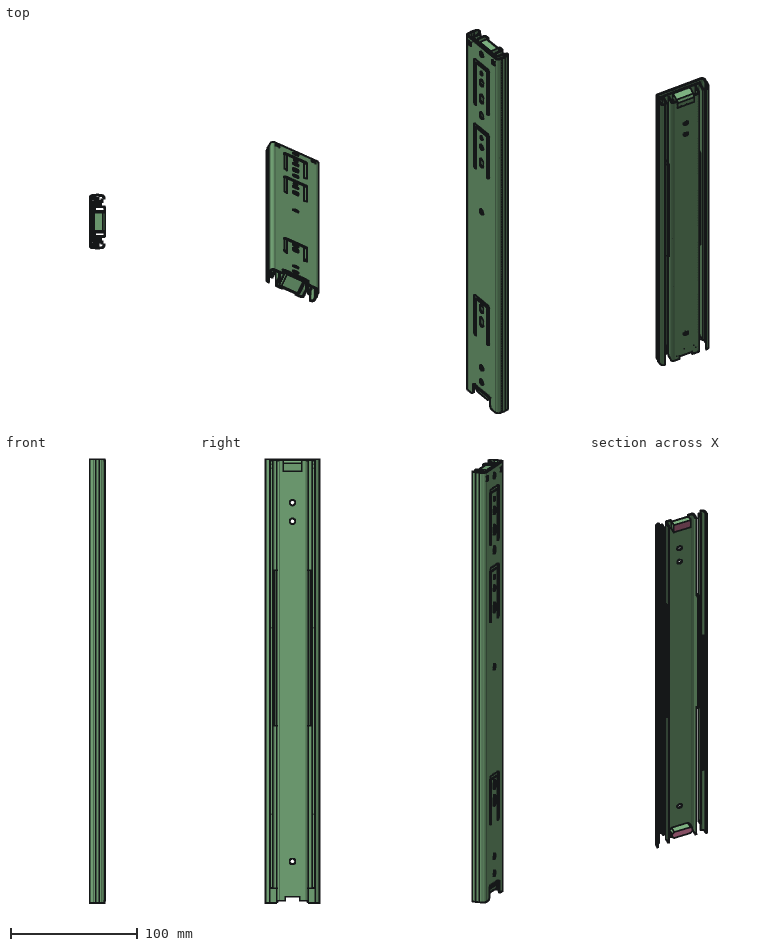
import cadquery as cq


LENGTH = 350.0
WIDTH = 43.0
DEPTH = 12.5
SHEET = 1.0
HALF_WIDTH = WIDTH / 2

OUTER_DEPTH = 12.0
OUTER_CORNER = 2.8
OUTER_LIP_CORNER = 2.8
RACEWAY_RISE = 0.5
RACEWAY_X = (5.0, 7.7)
FLANGE_Y = HALF_WIDTH - RACEWAY_RISE
OUTER_LIP_Y = 18.0
HOLE_WIDTH = 5.0
ROUND_HOLE_Z = [343.0, 251.3, 187.2, 33.0, 19.0]
SLOTS = [(314.5, 6.3), (299.0, 8.5), (282.5, 6.3), (235.5, 8.5), (91.5, 7.7), (78.5, 9.0)]
PILOT_HOLE = 3.5
PILOT_HOLE_Z = [324.0, 260.5]
TONGUES = [(333.5, 288.5), (269.5, 225.5), (100.0, 60.5)]
TONGUE_HALF_WIDTH = 7.7
TONGUE_BEVEL = 0.52
SLIT_HALF_WIDTH = 10.0
SLIT_TOP_HEIGHT = 3.0
SLIT_CORNER = 2.0
WINDOW = 3.5
WINDOW_Y = 15.8
WINDOW_Z = 344.5
MOUTH_HALF_WIDTH = 11.2
MOUTH_HEIGHT = 10.0
MOUTH_FLARE = 1.8
MOUTH_CROWN_HALF_WIDTH = 9.0
MOUTH_CROWN_HEIGHT = 11.2

MIDDLE_BACK_X = 2.5
MIDDLE_FRONT_X = 10.5
MIDDLE_FLANGE_Y = 16.5
MIDDLE_LIP_Y = 17.5
MIDDLE_CORNER = 1.8
MIDDLE_BOTTOM_Z = 12.0

INNER_BACK_X = 5.2
INNER_HALF_WIDTH = 12.2
INNER_CORNER = 1.8
INNER_BOTTOM_Z = 1.8
INNER_TOP_Z = 349.0
NOTCH_HALF_WIDTH = 5.5
NOTCH_TOP_Z = 5.0

ACCESS_HOLE = 4.2
ACCESS_HOLE_Z = [315.7, 301.0, 33.0]

CAGE_WEB = 0.52
CAGE_LEG = 1.5
OUTER_CAGE_BACK_X = 1.5
OUTER_CAGE_FRONT_X = 7.5
OUTER_CAGE_HALF_WIDTH = 19.0
OUTER_CAGE_Z = (70.0, 217.0)
INNER_CAGE_BACK_X = 4.0
INNER_CAGE_FRONT_X = 9.0
INNER_CAGE_HALF_WIDTH = 14.5
INNER_CAGE_Z = (140.0, 262.5)

TOP_STOP_BACK_X = 4.0
TOP_STOP_HALF_WIDTH = 7.5
TOP_STOP_HEIGHT = 8.5
TOP_STOP_BEVEL = 2.0
BOTTOM_STOP_BACK_X = 1.0
BOTTOM_STOP_HALF_WIDTH = 8.8
BOTTOM_STOP_BEVEL = 1.8
GROOVE_Z = 8.5
GROOVE_SIZE = 1.0


def centred_box(x0, x1, half_width, z0, z1):
    """Block that is symmetric about Y = 0."""
    block = cq.Workplane("XY").box(x1 - x0, 2 * half_width, z1 - z0, centered=(False, True, False))
    return block.translate((x0, 0, z0))


def channel(back_x, front_x, half_width, web, leg, z0, z1):
    """Square-cornered channel with its web at back_x and its open side towards +X."""
    solid = centred_box(back_x, front_x, half_width, z0, z1)
    return solid.cut(centred_box(back_x + web, front_x, half_width - leg, z0, z1))


def round_edges_at(solid, x, half_width, radius):
    """Round the two Z edges of a profile at the given X and at both +half_width and -half_width."""
    reach = SHEET / 4
    for y in (-half_width, half_width):
        near_edge = cq.selectors.BoxSelector((x - reach, y - reach, 0), (x + reach, y + reach, LENGTH))
        solid = solid.edges(near_edge).fillet(radius)
    return solid


def cross_slot(x0, x1, z, width, length):
    """Cutter along X at Y = 0, rounded at both ends of its length along Z; round if length = width."""
    plane = cq.Workplane("YZ", origin=(x0, 0, z))
    if length > width:
        return plane.slot2D(length, width, 90).extrude(x1 - x0)
    return plane.circle(width / 2).extrude(x1 - x0)


def tongue_slit(top_z, bottom_z):
    """U-shaped cutter that leaves a tongue joined to the web at its lower end."""
    slit = centred_box(0, SHEET, SLIT_HALF_WIDTH, bottom_z, top_z).edges("|X").fillet(SLIT_CORNER)
    tongue = centred_box(0, SHEET, TONGUE_HALF_WIDTH, bottom_z, top_z - SLIT_TOP_HEIGHT)
    return slit.cut(tongue.edges("|Z and <X").chamfer(TONGUE_BEVEL))


def raceway_bulge(base_y, side):
    """Full-length segment of a cylinder that rises outwards from a flat face at side * base_y."""
    start_x, end_x = RACEWAY_X
    crest = ((start_x + end_x) / 2, side * (base_y + RACEWAY_RISE))
    profile = cq.Workplane("XY").moveTo(start_x, side * base_y)
    return profile.threePointArc(crest, (end_x, side * base_y)).close().extrude(LENGTH)


def mouth():
    """Cutter for the flared cutout at the bottom of the outer rail's web."""
    flared = MOUTH_HALF_WIDTH + MOUTH_FLARE
    half = [
        (flared, 0),
        (MOUTH_HALF_WIDTH, MOUTH_FLARE),
        (MOUTH_HALF_WIDTH, MOUTH_HEIGHT),
        (MOUTH_CROWN_HALF_WIDTH, MOUTH_HEIGHT),
        (MOUTH_CROWN_HALF_WIDTH, MOUTH_CROWN_HEIGHT),
    ]
    mirrored = [(-y, z) for y, z in reversed(half)]
    return cq.Workplane("YZ").polyline(half + mirrored).close().extrude(SHEET)


def make_outer_rail():
    rail = centred_box(0, OUTER_DEPTH, FLANGE_Y, 0, LENGTH)
    rail = round_edges_at(rail, 0, FLANGE_Y, OUTER_CORNER)
    rail = round_edges_at(rail, OUTER_DEPTH, FLANGE_Y, OUTER_LIP_CORNER)

    cavity_half_width = FLANGE_Y - SHEET
    cavity = centred_box(SHEET, OUTER_DEPTH - SHEET, cavity_half_width, 0, LENGTH)
    cavity = round_edges_at(cavity, SHEET, cavity_half_width, OUTER_CORNER - SHEET)
    cavity = round_edges_at(cavity, OUTER_DEPTH - SHEET, cavity_half_width, OUTER_LIP_CORNER - SHEET)
    rail = rail.cut(cavity).cut(centred_box(SHEET, OUTER_DEPTH, OUTER_LIP_Y, 0, LENGTH))
    for side in (-1, 1):
        rail = rail.union(raceway_bulge(FLANGE_Y, side)).cut(raceway_bulge(cavity_half_width, side))

    for z in ROUND_HOLE_Z:
        rail = rail.cut(cross_slot(0, SHEET, z, HOLE_WIDTH, HOLE_WIDTH))
    for z in PILOT_HOLE_Z:
        rail = rail.cut(cross_slot(0, SHEET, z, PILOT_HOLE, PILOT_HOLE))
    for z, length in SLOTS:
        rail = rail.cut(cross_slot(0, SHEET, z, HOLE_WIDTH, length))
    for top_z, bottom_z in TONGUES:
        rail = rail.cut(tongue_slit(top_z, bottom_z))
    for side in (-1, 1):
        window = cq.Workplane("XY").box(SHEET, WINDOW, WINDOW)
        rail = rail.cut(window.translate((SHEET / 2, side * WINDOW_Y, WINDOW_Z)))
    return rail.cut(mouth())


def cut_access_holes(rail):
    for z in ACCESS_HOLE_Z:
        rail = rail.cut(cross_slot(0, DEPTH, z, ACCESS_HOLE, ACCESS_HOLE))
    return rail


def make_middle_rail():
    rail = channel(
        MIDDLE_BACK_X, MIDDLE_FRONT_X, MIDDLE_FLANGE_Y, SHEET, SHEET, MIDDLE_BOTTOM_Z, INNER_TOP_Z)
    rail = round_edges_at(rail, MIDDLE_BACK_X, MIDDLE_FLANGE_Y, MIDDLE_CORNER)
    rail = round_edges_at(
        rail, MIDDLE_BACK_X + SHEET, MIDDLE_FLANGE_Y - SHEET, MIDDLE_CORNER - SHEET)
    lip_back_x = MIDDLE_FRONT_X - SHEET
    lips = centred_box(lip_back_x, MIDDLE_FRONT_X, MIDDLE_LIP_Y, MIDDLE_BOTTOM_Z, INNER_TOP_Z)
    gap = centred_box(
        lip_back_x, MIDDLE_FRONT_X, MIDDLE_FLANGE_Y - SHEET, MIDDLE_BOTTOM_Z, INNER_TOP_Z)
    return cut_access_holes(rail.union(lips.cut(gap)))


def top_stop_block():
    """Plain block of the top stop, which is also the recess it fills in the inner rail's web."""
    return centred_box(
        TOP_STOP_BACK_X, DEPTH, TOP_STOP_HALF_WIDTH, INNER_TOP_Z - TOP_STOP_HEIGHT, INNER_TOP_Z)


def make_inner_rail():
    rail = centred_box(INNER_BACK_X, DEPTH, INNER_HALF_WIDTH, INNER_BOTTOM_Z, INNER_TOP_Z)
    rail = round_edges_at(rail, DEPTH, INNER_HALF_WIDTH, INNER_CORNER)
    cavity_half_width = INNER_HALF_WIDTH - SHEET
    cavity = centred_box(INNER_BACK_X, DEPTH - SHEET, cavity_half_width, INNER_BOTTOM_Z, INNER_TOP_Z)
    cavity = round_edges_at(cavity, DEPTH - SHEET, cavity_half_width, INNER_CORNER - SHEET)
    notch = centred_box(DEPTH - SHEET, DEPTH, NOTCH_HALF_WIDTH, INNER_BOTTOM_Z, NOTCH_TOP_Z)
    return cut_access_holes(rail.cut(cavity).cut(notch).cut(top_stop_block()))


def make_top_stop():
    """Block that fills the inner rail's recess, bevelled along its front top edge."""
    return top_stop_block().edges(">X and >Z").chamfer(TOP_STOP_BEVEL)


def make_bottom_stop():
    """Bar across the inside of the inner rail's web, grooved along its back."""
    stop = centred_box(
        BOTTOM_STOP_BACK_X, DEPTH - SHEET, BOTTOM_STOP_HALF_WIDTH, NOTCH_TOP_Z, MIDDLE_BOTTOM_Z)
    stop = stop.edges("|X").chamfer(BOTTOM_STOP_BEVEL)
    groove = centred_box(
        BOTTOM_STOP_BACK_X, BOTTOM_STOP_BACK_X + GROOVE_SIZE, BOTTOM_STOP_HALF_WIDTH,
        GROOVE_Z - GROOVE_SIZE / 2, GROOVE_Z + GROOVE_SIZE / 2)
    return stop.cut(groove)


outer_rail = make_outer_rail()
middle_rail = make_middle_rail()
inner_rail = make_inner_rail()
outer_cage = channel(
    OUTER_CAGE_BACK_X, OUTER_CAGE_FRONT_X, OUTER_CAGE_HALF_WIDTH, CAGE_WEB, CAGE_LEG, *OUTER_CAGE_Z)
inner_cage = channel(
    INNER_CAGE_BACK_X, INNER_CAGE_FRONT_X, INNER_CAGE_HALF_WIDTH, CAGE_WEB, CAGE_LEG, *INNER_CAGE_Z)
top_stop = make_top_stop()
bottom_stop = make_bottom_stop()

bodies = [outer_rail, middle_rail, inner_rail, outer_cage, inner_cage, top_stop, bottom_stop]
result = cq.Compound.makeCompound([body.val() for body in bodies])